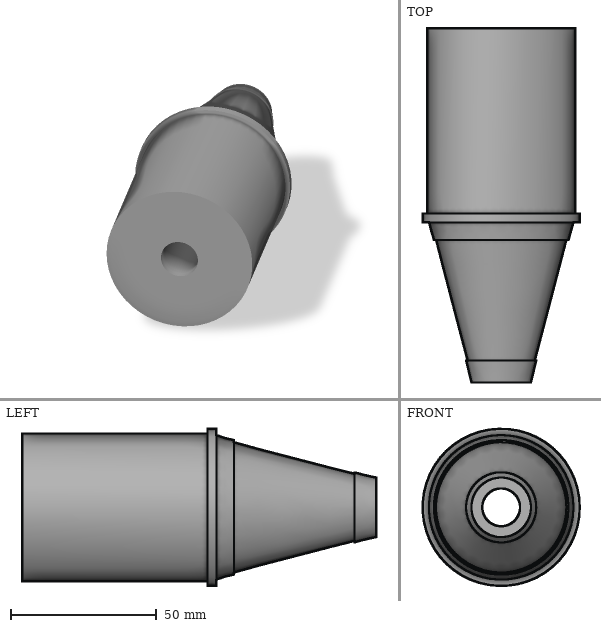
import cadquery as cq

length = 121.7
tip_length = 7.5
cone_end = 48.9
collar_start = 55.0
collar_width = 3.0
collar_end = collar_start + collar_width

tip_radius = 10.2
tip_base_radius = 12.0
cone_small_radius = 11.5
cone_large_radius = 22.4
shoulder_small_radius = 23.1
shoulder_large_radius = 24.8
collar_radius = 27.0
barrel_radius = 25.4
bore_radius = 6.5

profile = [
    (0, 0),
    (tip_radius, 0),
    (tip_base_radius, tip_length),
    (cone_small_radius, tip_length),
    (cone_large_radius, cone_end),
    (shoulder_small_radius, cone_end),
    (shoulder_large_radius, collar_start),
    (collar_radius, collar_start),
    (collar_radius, collar_end),
    (barrel_radius, collar_end),
    (barrel_radius, length),
    (0, length),
]
body = cq.Workplane("XY").polyline(profile).close().revolve(360, (0, 0, 0), (0, 1, 0))

bore = cq.Workplane("XZ").circle(bore_radius).extrude(-length)

result = body.cut(bore)